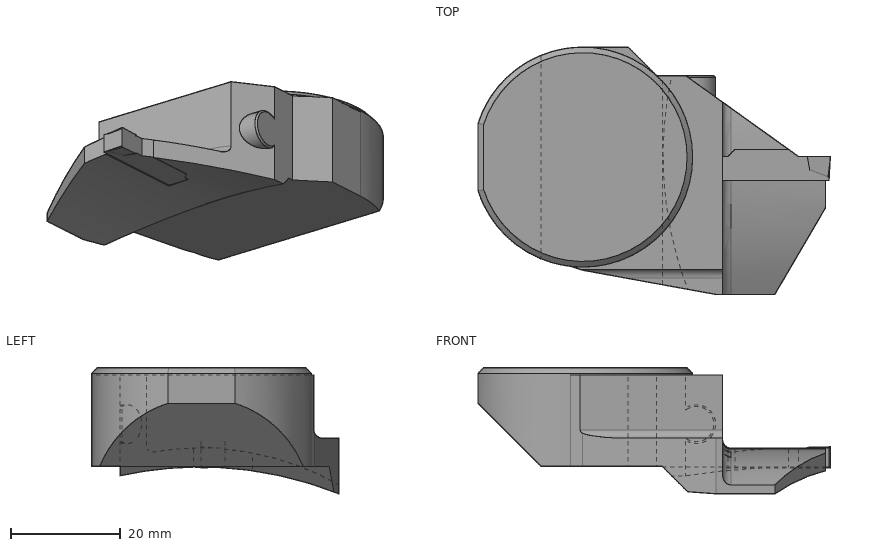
import cadquery as cq
import math

DISC_R = 20.0
DISC_H = 17.95
DISC_CHAMFER = 1.0
DISC_FLAT = 19.05
BEVEL = 11.5

BLOCK_TOP = 16.65
BLOCK_BOTTOM = -6.4
WALL_X = 25.45
SIDE_Y = -20.45
FRONT_Y = -25.0
BACK_Y = 14.8
LEDGE_Z = 5.1
FILLET = 1.55
FOOT_X = 14.5
BLADE_END_X = 44.15
BLADE_CORNER_X = 34.95
BLADE_CORNER_Y = -9.2
EAR_X = 8.3
FLANK_END = (24.2, FRONT_Y)
FLANK_START = (-0.05, -20.6)
FLANK_DISC_X = -2.2

ARC_Y = 0.25
UNDERSIDE_TOP = -0.1
UNDERSIDE_R = 67.95
BLADE_TOP = 3.35
BLADE_TOP_R = 51.0

BOSS_R = 3.5
BOSS_RIGHT_X = 24.15
BOSS_Z = 7.7
BOSS_LENGTH = 9.0
BOSS_CHAMFER = 0.3

RAKE_Y = 0.1
INSERT_LOW_Y = -4.3
INSERT_HUMP_Y = 1.4
INSERT_BOTTOM = -0.05
INSERT_TIP_X = 45.05
INSERT_HEEL_X = 44.8
HUMP_START_X = 26.4
JAW_END_X = 39.2
JAW_START_X = 18.7
TIP_RISE = 0.25
TIP_START_X = 40.8
TIP_ROOT = (41.3, -2.3)
TIP_ROOT_END = (44.6, -3.6)

SPAN = 76.9


def make_disc():
    disc = cq.Workplane("XY").circle(DISC_R).extrude(DISC_H).faces(">Z").edges().chamfer(DISC_CHAMFER)
    profile = (
        cq.Workplane("XZ")
        .polyline(
            [
                (-DISC_FLAT + BEVEL, 0),
                (-DISC_FLAT, BEVEL),
                (-DISC_FLAT, DISC_H - DISC_CHAMFER),
                (-DISC_FLAT + DISC_CHAMFER, DISC_H),
                (DISC_R, DISC_H),
                (DISC_R, 0),
            ]
        )
        .close()
        .extrude(DISC_R, both=True)
    )
    return disc.intersect(profile)


def make_block():
    outline = [
        (0, DISC_R),
        (EAR_X, DISC_R),
        (EAR_X + DISC_R - BACK_Y, BACK_Y),
        (JAW_START_X, BACK_Y),
        (JAW_END_X, RAKE_Y),
        (BLADE_END_X, RAKE_Y),
        (BLADE_END_X, BLADE_CORNER_Y),
        (BLADE_CORNER_X, FRONT_Y),
        FLANK_END,
        FLANK_START,
        (FLANK_DISC_X, -math.sqrt(DISC_R**2 - FLANK_DISC_X**2)),
    ]
    return (
        cq.Workplane("XY", origin=(0, 0, BLOCK_BOTTOM))
        .polyline(outline)
        .close()
        .extrude(BLOCK_TOP - BLOCK_BOTTOM)
    )


def make_ledge_cut():
    """Space above the ledge, rounded where it meets the side wall."""
    return (
        cq.Workplane("XY")
        .box(SPAN, SPAN, SPAN, centered=(True, False, False))
        .translate((0, SIDE_Y - SPAN, LEDGE_Z))
        .intersect(cq.Workplane("XY").box(2 * WALL_X, SPAN, SPAN))
        .edges("|X and >Y and <Z")
        .fillet(FILLET)
    )


def make_blade_cut():
    """Space above the curved blade, rounded where it meets the end wall."""
    half_width = SPAN / 2
    side_z = BLADE_TOP - BLADE_TOP_R + math.sqrt(BLADE_TOP_R**2 - half_width**2)
    return (
        cq.Workplane("YZ", origin=(WALL_X, 0, 0))
        .moveTo(ARC_Y - half_width, SPAN)
        .lineTo(ARC_Y - half_width, side_z)
        .threePointArc((ARC_Y, BLADE_TOP), (ARC_Y + half_width, side_z))
        .lineTo(ARC_Y + half_width, SPAN)
        .close()
        .extrude(SPAN)
        .faces("<X")
        .edges("%CIRCLE")
        .fillet(FILLET)
    )


def make_foot_cut():
    """Space under the block: ahead of the sloped foot and below the arc."""
    depth = -BLOCK_BOTTOM
    ahead = (
        cq.Workplane("XZ")
        .polyline([(-SPAN, 0), (FOOT_X, 0), (FOOT_X + depth, -depth), (-SPAN, -depth)])
        .close()
        .extrude(SPAN, both=True)
    )
    below = (
        cq.Workplane("YZ", origin=(-SPAN, 0, 0))
        .center(ARC_Y, UNDERSIDE_TOP - UNDERSIDE_R)
        .circle(UNDERSIDE_R)
        .extrude(3 * SPAN)
    )
    return ahead.union(below)


def make_boss():
    return (
        cq.Workplane("XZ", origin=(BOSS_RIGHT_X - BOSS_R, BACK_Y, BOSS_Z))
        .circle(BOSS_R)
        .extrude(BOSS_LENGTH)
        .faces(">Y")
        .chamfer(BOSS_CHAMFER)
    )


def insert_prism(bottom, top):
    """Insert outline, with the hump that the jaw grips, between two heights."""
    hump = INSERT_HUMP_Y - RAKE_Y
    jaw_slope = (JAW_END_X - JAW_START_X) / (BACK_Y - RAKE_Y)
    outline = [
        (WALL_X, INSERT_LOW_Y),
        (WALL_X, RAKE_Y),
        (HUMP_START_X, RAKE_Y),
        (HUMP_START_X + hump, INSERT_HUMP_Y),
        (JAW_END_X - hump * jaw_slope, INSERT_HUMP_Y),
        (JAW_END_X, RAKE_Y),
        (INSERT_TIP_X, RAKE_Y),
        (INSERT_HEEL_X, INSERT_LOW_Y),
    ]
    return cq.Workplane("XY", origin=(0, 0, bottom)).polyline(outline).close().extrude(top - bottom)


def make_tip():
    """Cutting corner that flares in height towards the rake face."""
    run = TIP_ROOT_END[0] - TIP_ROOT[0]
    drop = TIP_ROOT_END[1] - TIP_ROOT[1]
    to_x = INSERT_TIP_X - TIP_ROOT[0]
    to_y = RAKE_Y - TIP_ROOT[1]
    reach = (run * to_y - drop * to_x) / math.hypot(run, drop)
    middle = (BLADE_TOP + INSERT_BOTTOM) / 2
    half = (BLADE_TOP - INSERT_BOTTOM) / 2
    plane = cq.Plane(origin=(*TIP_ROOT, middle), xDir=(-drop, run, 0), normal=(run, drop, 0))
    flare = (
        cq.Workplane(plane)
        .polyline([(0, half), (reach, half + TIP_RISE), (reach, -half - TIP_RISE), (0, -half)])
        .close()
        .extrude(SPAN / 2, both=True)
    )
    corner = (
        cq.Workplane("XY")
        .polyline([(TIP_START_X, RAKE_Y), TIP_ROOT, TIP_ROOT_END, (INSERT_TIP_X, RAKE_Y)])
        .close()
        .extrude(SPAN / 2, both=True)
    )
    return flare.intersect(corner)


def make_head():
    block = make_block().cut(make_ledge_cut()).cut(make_blade_cut()).cut(make_foot_cut())
    head = make_disc().union(block).union(make_boss())
    return head.cut(insert_prism(BLOCK_BOTTOM, BLOCK_TOP)).solids()


def make_insert():
    return insert_prism(INSERT_BOTTOM, BLADE_TOP).union(make_tip()).solids()


head = make_head()
insert = make_insert()
result = cq.Compound.makeCompound([head.val(), insert.val()])